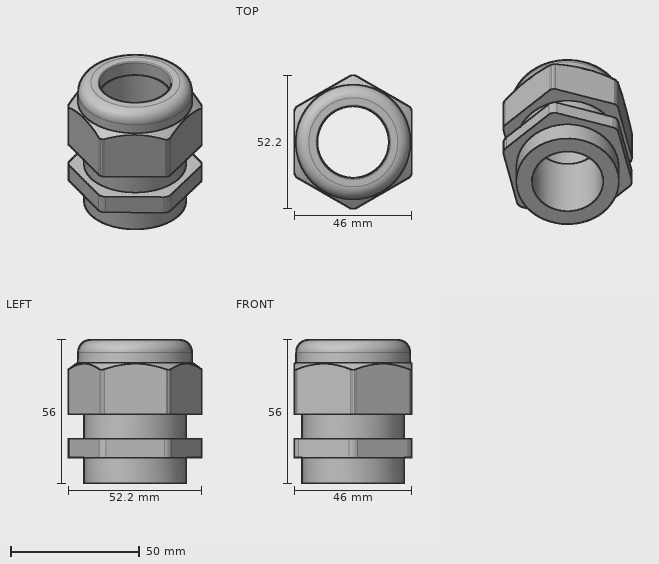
import cadquery as cq
import math


across_flats = 46.0
thread_radius = 20.0
passage_radius = 13.9

thread_length = 10.05
flange_height = 7.4
flange_corner_radius = 3.25
body_height = 33.65

nut_bottom = 26.9
nut_top = 56.05
across_corner_facets = 52.2
facet_edge_radius = 1.1
shoulder_height = 47.1
bevel_angle = 36.0
cap_base_radius = 22.4
cap_radius = 22.3
dome_radius = 4.95
mouth_radius = 14.1
mouth_rounding = 0.45

seal_top = 49.8


def hexagon_prism(bottom, height, width):
    """Upright hexagonal prism with corners on the X axis; width is across its flats."""
    corner_diameter = width / math.cos(math.radians(30))
    return cq.Workplane("XY", origin=(0, 0, bottom)).polygon(6, corner_diameter).extrude(height)


def turn_about_z(body, angle):
    """Rotate a body about the Z axis, angle in degrees."""
    return body.rotate((0, 0, 0), (0, 0, 1), angle)


def cylinder(bottom, top, radius):
    """Upright cylinder on the Z axis between two heights."""
    return cq.Workplane("XY", origin=(0, 0, bottom)).circle(radius).extrude(top - bottom)


def make_gland_body():
    """Straight tube with a hexagon flange part-way up."""
    tube = cylinder(0, body_height, thread_radius)
    flange = turn_about_z(hexagon_prism(thread_length, flange_height, across_flats), 30)
    flange = flange.edges("|Z").fillet(flange_corner_radius)
    return tube.union(flange).cut(cylinder(0, body_height, passage_radius))


def make_bevel_envelope():
    """Solid of revolution whose sloping top bevels the nut's hexagon."""
    envelope_radius = across_flats
    bevel_drop = (envelope_radius - cap_base_radius) * math.tan(math.radians(bevel_angle))
    return (
        cq.Workplane("XZ")
        .moveTo(0, 0)
        .lineTo(envelope_radius, 0)
        .lineTo(envelope_radius, shoulder_height - bevel_drop)
        .lineTo(cap_base_radius, shoulder_height)
        .lineTo(0, shoulder_height)
        .close()
        .revolve(360, (0, 0, 0), (0, 1, 0))
    )


def make_nut_hexagon():
    """Hexagon with flats facing +X and -X, faceted corners and a bevelled top."""
    height = shoulder_height - nut_bottom
    flats = turn_about_z(hexagon_prism(nut_bottom, height, across_flats), 30)
    corner_facets = hexagon_prism(nut_bottom, height, across_corner_facets)
    hexagon = flats.intersect(corner_facets).edges("|Z").fillet(facet_edge_radius)
    return hexagon.intersect(make_bevel_envelope())


def make_cap():
    """Slightly tapered round cap with a domed rim."""
    dome_base = nut_top - dome_radius
    flat_radius = cap_radius - dome_radius
    diagonal = dome_radius * math.sin(math.radians(45))
    return (
        cq.Workplane("XZ")
        .moveTo(0, shoulder_height)
        .lineTo(cap_base_radius, shoulder_height)
        .lineTo(cap_radius, dome_base)
        .threePointArc((flat_radius + diagonal, dome_base + diagonal), (flat_radius, nut_top))
        .lineTo(0, nut_top)
        .close()
        .revolve(360, (0, 0, 0), (0, 1, 0))
    )


def make_clamping_nut():
    """Bevelled hexagon under a domed cap, hollow below and open at the top."""
    nut = make_nut_hexagon().union(make_cap())
    nut = nut.cut(cylinder(nut_bottom, seal_top, thread_radius))
    nut = nut.cut(cylinder(seal_top, nut_top, mouth_radius))
    mouth_edge = cq.selectors.RadiusNthSelector(0)
    return nut.faces(">Z").edges(mouth_edge).fillet(mouth_rounding)


def make_sealing_ring():
    """Plain ring filling the nut cavity above the gland body."""
    ring = cylinder(body_height, seal_top, thread_radius)
    return ring.cut(cylinder(body_height, seal_top, passage_radius))


gland_body = make_gland_body()
clamping_nut = make_clamping_nut()
sealing_ring = make_sealing_ring()

result = cq.Compound.makeCompound([gland_body.val(), clamping_nut.val(), sealing_ring.val()])